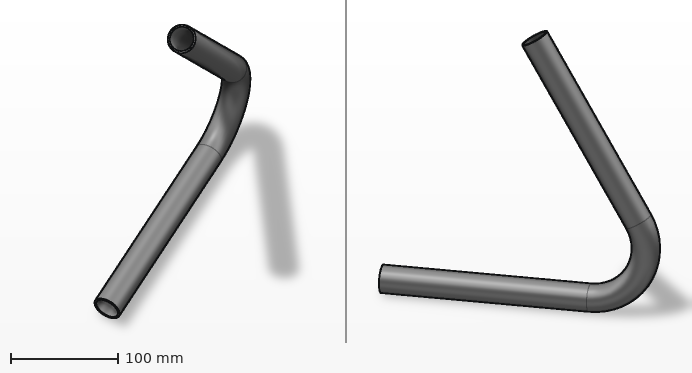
import cadquery as cq
import math

overall_height = 274.5
outer_diameter = 27.0
wall_thickness = 2.0
bend_radius = 54.0
bend_angle = 120.0

outer_radius = outer_diameter / 2
inner_radius = outer_radius - wall_thickness
turn = math.radians(bend_angle)

bend_rise = bend_radius * (1 - math.cos(turn))
rim_rise = outer_radius * abs(math.cos(turn))
leg_length = (overall_height - outer_radius - bend_rise - rim_rise) / math.sin(turn)


def bend_point(angle):
    """Centreline point (Y, Z) after turning by angle from the lower leg."""
    return (bend_radius * math.sin(angle), bend_radius * (1 - math.cos(angle)))


bend_end_y, bend_end_z = bend_point(turn)
leg_end = (
    bend_end_y + leg_length * math.cos(turn),
    bend_end_z + leg_length * math.sin(turn),
)
centreline = (
    cq.Workplane("YZ")
    .moveTo(-leg_length, 0)
    .lineTo(0, 0)
    .threePointArc(bend_point(turn / 2), (bend_end_y, bend_end_z))
    .lineTo(*leg_end)
)

result = (
    cq.Workplane("XZ", origin=(0, -leg_length, 0))
    .circle(outer_radius)
    .circle(inner_radius)
    .sweep(centreline)
)